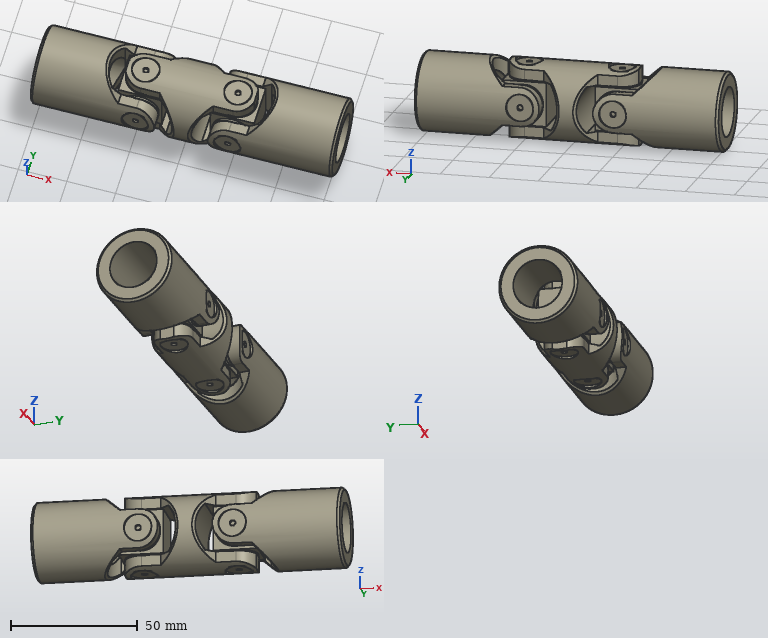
import cadquery as cq
import math

total_length = 124.0
body_diameter = 32.0
end_chamfer = 1.0
bore_diameter = 20.0
joint_offset = 19.0

tine_width = 16.0
tine_gap = 19.0
end_bevel_reach = 15.7
end_root_reach = 7.5
end_slot_radius = 14.6
centre_bevel_reach = 16.1
centre_root_reach = 7.9
centre_slot_radius = 15.0
centre_tip_reach = 7.5

block_length = 18.0
block_width = 16.6
block_height = 18.0
collar_diameter = 15.5
pin_diameter = 11.0
pin_length = 30.0
drill_mark_diameter = 2.2
drill_mark_depth = 1.0

body_radius = body_diameter / 2
half_length = total_length / 2
tine_radius = tine_width / 2


def cylinder_y(diameter, length):
    """Cylinder along Y, centred on the origin."""
    return cq.Workplane("XZ").circle(diameter / 2).extrude(length / 2, both=True)


def fork_outline(body_length, bevel_reach, root_reach):
    """Fork seen along its pin axis: the body lies on -X, the round tine tip on +X."""
    profile = (
        cq.Workplane("XZ")
        .moveTo(-body_length, -body_radius)
        .lineTo(-bevel_reach, -body_radius)
        .lineTo(-root_reach, -tine_radius)
        .lineTo(0, -tine_radius)
        .threePointArc((tine_radius, 0), (0, tine_radius))
        .lineTo(-root_reach, tine_radius)
        .lineTo(-bevel_reach, body_radius)
        .lineTo(-body_length, body_radius)
        .close()
    )
    return profile.extrude(body_radius, both=True)


def fork_slot(slot_radius):
    """Slot between the tines, with a round bottom about the cross centre."""
    cavity = cq.Workplane("XY").circle(slot_radius).extrude(body_radius, both=True)
    return cavity.intersect(cq.Workplane("XY").box(body_diameter, tine_gap, body_diameter))


def make_end_yoke():
    """Left end yoke, its pins along Y; the cross centre is at the origin."""
    body_length = half_length - joint_offset
    bore_end = -math.sqrt(end_slot_radius**2 - (tine_gap / 2) ** 2)
    barrel = (
        cq.Workplane("YZ", origin=(-body_length, 0, 0))
        .circle(body_radius)
        .extrude(body_length + tine_radius)
        .faces("<X")
        .chamfer(end_chamfer)
    )
    bore = (
        cq.Workplane("YZ", origin=(-body_length, 0, 0))
        .circle(bore_diameter / 2)
        .extrude(body_length + bore_end)
    )
    return (
        barrel.intersect(fork_outline(body_length, end_bevel_reach, end_root_reach))
        .cut(fork_slot(end_slot_radius))
        .cut(bore)
        .cut(cylinder_y(pin_diameter, body_diameter))
    )


def make_centre_yoke():
    """Centre yoke, forked at both ends, its pins along Z."""
    tip_position = joint_offset + centre_tip_reach
    yoke = cq.Workplane("YZ").circle(body_radius).extrude(tip_position, both=True)
    outline = fork_outline(joint_offset, centre_bevel_reach, centre_root_reach)
    cutters = fork_slot(centre_slot_radius).union(cylinder_y(pin_diameter, body_diameter))
    outline = outline.rotate((0, 0, 0), (1, 0, 0), 90).translate((joint_offset, 0, 0))
    cutters = cutters.rotate((0, 0, 0), (1, 0, 0), 90).translate((joint_offset, 0, 0))
    yoke = yoke.intersect(outline.union(outline.mirror("YZ")))
    return yoke.cut(cutters).cut(cutters.mirror("YZ"))


def make_cross(centre_x):
    """Block with a pin and a collar on each of its four sides."""
    cross = cq.Workplane("XY").box(block_length, block_width, block_height)
    arm = cylinder_y(collar_diameter, tine_gap).union(cylinder_y(pin_diameter, pin_length))
    marks = cylinder_y(drill_mark_diameter, pin_length).cut(
        cylinder_y(drill_mark_diameter, pin_length - 2 * drill_mark_depth)
    )
    for angle in (0, 90):
        cross = cross.union(arm.rotate((0, 0, 0), (1, 0, 0), angle))
    for angle in (0, 90):
        cross = cross.cut(marks.rotate((0, 0, 0), (1, 0, 0), angle))
    return cross.translate((centre_x, 0, 0))


left_yoke = make_end_yoke().translate((-joint_offset, 0, 0))
end_yokes = [left_yoke, left_yoke.mirror("YZ")]
centre_yoke = make_centre_yoke()
crosses = [make_cross(side * joint_offset) for side in (-1, 1)]

bodies = [*end_yokes, centre_yoke, *crosses]
result = cq.Compound.makeCompound([body.val() for body in bodies])